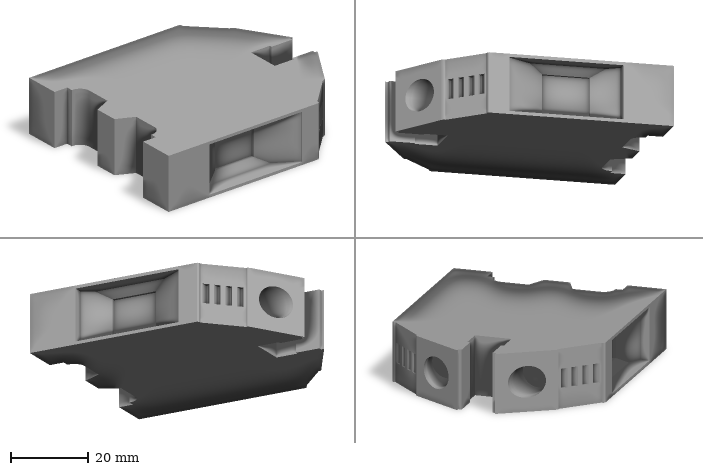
import cadquery as cq

length = 68.0
half_width = 58.0 / 2
thickness = 16.2

foot_inner_x = 18.4
foot_height = 4.15
recess_half_width = 16.5
recess_height = 7.55
recess_radius = 3.05
lug_root_half_width = 6.0
lug_tip_half_width = 3.55
lug_tip_height = 2.3

shoulder_height = 49.85
edge_bevel = 0.4
flank_sum = 77.85
flank_top_height = 58.55
lip_x = 19.4
lip_height = 59.0
lip_bevel = 0.5

mouth_half_width = 5.2
mouth_height = 67.1
neck_half_width = 4.2
neck_height = 60.25
slot_half_width = 4.95
slot_floor_height = 54.05

screw_hole_x = 12.4
screw_hole_radius = 4.3

notch_count = 4
notch_first_height = 58.1
notch_pitch = 2.2
notch_height = 1.3
notch_wall_drop = 0.8
notch_length = 5.3

pocket_low_y = 13.5
pocket_high_y = 44.0
pocket_half_height = 7.24
inner_low_y = 20.7
inner_high_y = 33.45
inner_half_height = 5.2
low_wall_depth = 2.6
high_wall_depth = 0.55
step_depth = 4.55
funnel_depth = 6.8
pocket_depth = 7.7


def make_body():
    """Extrude the right half of the outline and mirror it."""
    arc_centre_x = recess_half_width - recess_radius
    half = (
        cq.Workplane("XY")
        .workplane(offset=-thickness / 2)
        .moveTo(0, lug_tip_height)
        .lineTo(lug_tip_half_width, lug_tip_height)
        .lineTo(lug_root_half_width, recess_height)
        .lineTo(arc_centre_x, recess_height)
        .radiusArc((recess_half_width, recess_height - recess_radius), recess_radius)
        .lineTo(recess_half_width, foot_height)
        .lineTo(foot_inner_x, foot_height)
        .lineTo(foot_inner_x, 0)
        .lineTo(half_width, 0)
        .lineTo(half_width, shoulder_height - edge_bevel)
        .lineTo(half_width - edge_bevel, shoulder_height)
        .lineTo(flank_sum - shoulder_height, shoulder_height)
        .lineTo(flank_sum - flank_top_height, flank_top_height)
        .lineTo(lip_x, lip_height)
        .lineTo(lip_x - lip_bevel, lip_height + lip_bevel)
        .lineTo(mouth_half_width, length)
        .lineTo(mouth_half_width, mouth_height)
        .lineTo(neck_half_width, mouth_height)
        .lineTo(neck_half_width, neck_height)
        .lineTo(slot_half_width, neck_height)
        .lineTo(slot_half_width, slot_floor_height)
        .lineTo(0, slot_floor_height)
        .close()
        .extrude(thickness)
    )
    return half.union(half.mirror("YZ"))


def make_screw_hole():
    """Blind hole on the -X side, ending level with the central slot floor."""
    return (
        cq.Workplane("XZ", origin=(-screw_hole_x, length, 0))
        .circle(screw_hole_radius)
        .extrude(length - slot_floor_height)
    )


def make_notch(top_y):
    """Notch in the -X flank: slanted upper wall, upright back, level floor."""
    top_x = top_y - flank_sum
    back_x = top_x + notch_wall_drop
    floor_y = top_y - notch_height
    return (
        cq.Workplane("XY")
        .workplane(offset=-notch_length / 2)
        .polyline([
            (top_x, top_y),
            (back_x, top_y - notch_wall_drop),
            (back_x, floor_y),
            (top_x - notch_height, floor_y),
        ])
        .close()
        .extrude(notch_length)
    )


def make_pocket():
    """Pocket in the -X side: tapered in Y throughout, tapered in Z past the step."""
    def depth_x(depth):
        return depth - half_width

    plan = (
        cq.Workplane("XY")
        .workplane(offset=-pocket_half_height)
        .polyline([
            (depth_x(0), pocket_low_y),
            (depth_x(low_wall_depth), pocket_low_y),
            (depth_x(funnel_depth), inner_low_y),
            (depth_x(pocket_depth), inner_low_y),
            (depth_x(pocket_depth), inner_high_y),
            (depth_x(funnel_depth), inner_high_y),
            (depth_x(high_wall_depth), pocket_high_y),
            (depth_x(0), pocket_high_y),
        ])
        .close()
        .extrude(2 * pocket_half_height)
    )
    section = (
        cq.Workplane("XZ", origin=(0, pocket_high_y, 0))
        .polyline([
            (depth_x(0), -pocket_half_height),
            (depth_x(step_depth), -pocket_half_height),
            (depth_x(funnel_depth), -inner_half_height),
            (depth_x(pocket_depth), -inner_half_height),
            (depth_x(pocket_depth), inner_half_height),
            (depth_x(funnel_depth), inner_half_height),
            (depth_x(step_depth), pocket_half_height),
            (depth_x(0), pocket_half_height),
        ])
        .close()
        .extrude(pocket_high_y - pocket_low_y)
    )
    return plan.intersect(section)


side_cuts = [make_screw_hole(), make_pocket()]
for index in range(notch_count):
    side_cuts.append(make_notch(notch_first_height - index * notch_pitch))

result = make_body()
for cut in side_cuts:
    result = result.cut(cut).cut(cut.mirror("YZ"))